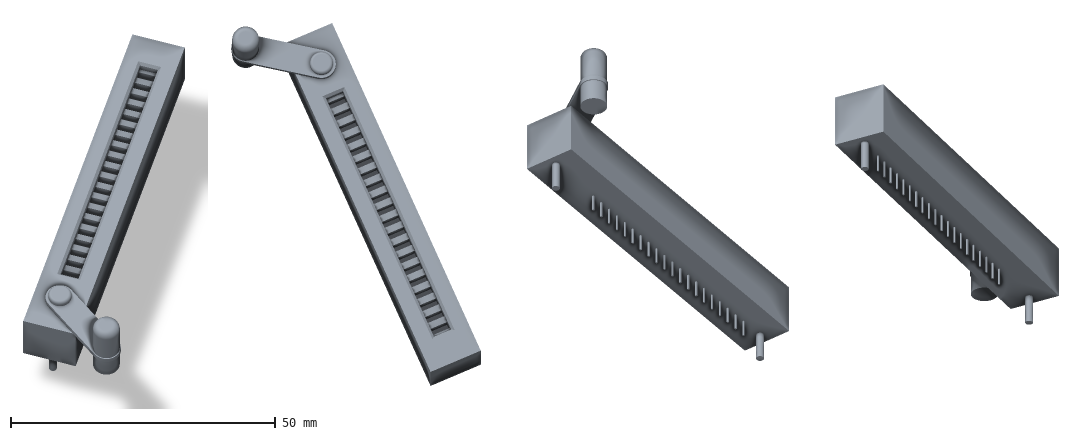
import cadquery as cq
import math


body_side = 10.4
body_length = 69.95

slot_length = 51.9
slot_width = 4.55
slot_start = 5.7
slot_depth = 1.8
slot_chamfer = 0.5

contact_count = 20
contact_span = 48.25
contact_pitch = contact_span / (contact_count - 1)
pocket_length = contact_pitch / 2
pocket_depth = 2.0
lead_side = 0.3
lead_length = 3.35

pin_diameter = 1.5
pin_length = 5.6
pin_span = 65.5

overall_length = 74.6
arm_width = 5.45
arm_radius = arm_width / 2
arm_thickness = 1.0
arm_reach_x = 11.85
arm_reach_y = 8.65
pivot_diameter = 4.3
pivot_height = 1.1
pivot_rounding = 0.5
handle_diameter = 5.1
handle_length = 12.5
handle_rise = 8.2
handle_rounding = 1.2

slot_y = -slot_start - slot_length / 2
handle_y = arm_radius - overall_length
pivot_y = handle_y + arm_reach_y
contact_ys = [slot_y + contact_span / 2 - i * contact_pitch for i in range(contact_count)]


def box(size_x, size_y, size_z, y, bottom_z):
    """Box centred on the body's middle plane, standing on bottom_z."""
    solid = cq.Workplane("XY").box(size_x, size_y, size_z, centered=(True, True, False))
    return solid.translate((0, y, bottom_z))


def cylinder(diameter, height, x, y, bottom_z):
    """Upright cylinder standing on bottom_z."""
    return cq.Workplane("XY", origin=(x, y, bottom_z)).circle(diameter / 2).extrude(height)


def make_body():
    body = box(body_side, body_length, body_side, -body_length / 2, 0)
    floor_width = slot_width - 2 * slot_chamfer
    floor_length = slot_length - 2 * slot_chamfer
    rib_top = body_side - slot_depth
    body = body.cut(box(floor_width, floor_length, slot_depth, slot_y, rib_top))
    rim = (
        cq.Workplane("XY", origin=(0, slot_y, body_side))
        .rect(slot_width, slot_length)
        .workplane(offset=-slot_chamfer)
        .rect(floor_width, floor_length)
        .loft(ruled=True)
    )
    body = body.cut(rim)
    for y in contact_ys:
        body = body.cut(box(floor_width, pocket_length, pocket_depth, y, rib_top - pocket_depth))
    return body


def add_leads_and_pins(body):
    for y in contact_ys:
        body = body.union(box(lead_side, lead_side, lead_length, y, -lead_length))
    for side in (1, -1):
        y = -body_length / 2 + side * pin_span / 2
        body = body.union(cylinder(pin_diameter, pin_length, 0, y, -pin_length))
    return body


def make_lever():
    arm_length = math.hypot(arm_reach_x, arm_reach_y)
    arm_angle = -math.degrees(math.atan2(arm_reach_y, arm_reach_x))
    lever = (
        cq.Workplane("XY", origin=(arm_reach_x / 2, (pivot_y + handle_y) / 2, body_side))
        .slot2D(arm_length + arm_width, arm_width, arm_angle)
        .extrude(arm_thickness)
    )
    pivot = cylinder(pivot_diameter, pivot_height, 0, pivot_y, body_side + arm_thickness)
    pivot = pivot.faces(">Z").edges().fillet(pivot_rounding)
    handle_bottom = body_side + handle_rise - handle_length
    handle = cylinder(handle_diameter, handle_length, arm_reach_x, handle_y, handle_bottom)
    handle = handle.faces(">Z").edges().fillet(handle_rounding)
    return lever.union(pivot).union(handle)


result = add_leads_and_pins(make_body()).union(make_lever())